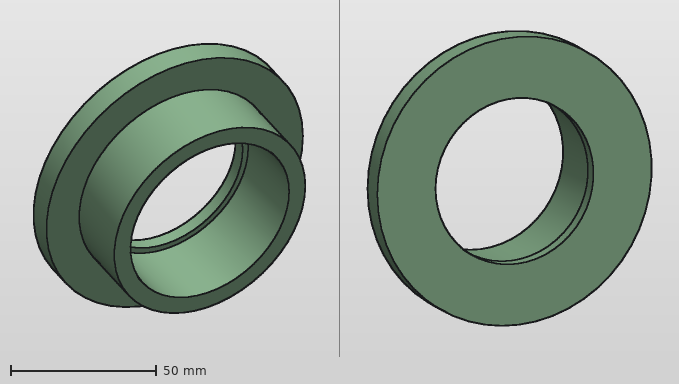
import cadquery as cq

flange_diameter = 102.0
flange_thickness = 9.0
sleeve_diameter = 76.0
total_length = 33.0
lip_bore_diameter = 58.6
lip_thickness = 5.0
main_bore_diameter = 63.0


def cylinder_along_x(diameter, start, end):
    """Solid cylinder on the X axis between two X positions."""
    return cq.Workplane("YZ", origin=(start, 0, 0)).circle(diameter / 2).extrude(end - start)


flange = cylinder_along_x(flange_diameter, 0, flange_thickness)
sleeve = cylinder_along_x(sleeve_diameter, 0, total_length)

lip_bore = cylinder_along_x(lip_bore_diameter, 0, total_length)
main_bore = cylinder_along_x(main_bore_diameter, lip_thickness, total_length)

result = flange.union(sleeve).cut(lip_bore).cut(main_bore)